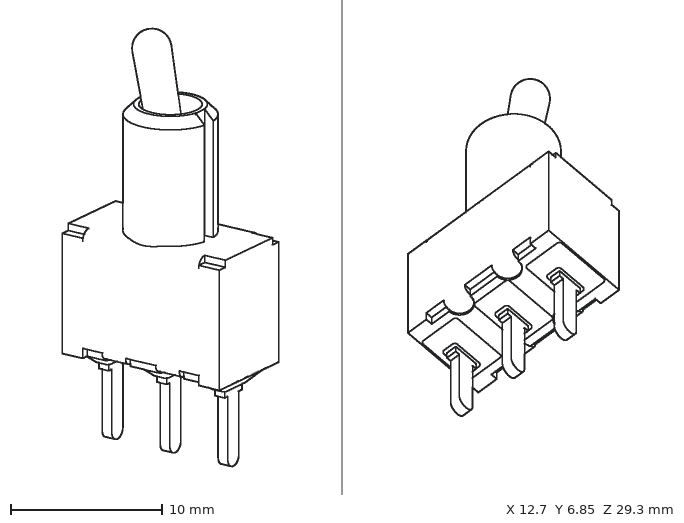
import cadquery as cq
import math


block_x = 12.7
block_y = 6.85
block_z = 8.93

roll_radius = 0.7
roll_length = 9.37
end_step_depth = 0.5

lower_recess_length = roll_length
lower_recess_height = 0.7
lower_recess_depth = 0.53

tab_width = 1.9
tab_spacing = 4.33
tab_pocket_depth = 0.18
tab_bend_radius = 0.47

bushing_diameter = 6.3
bushing_height = 8.87
bushing_chamfer = 0.7
bore_diameter = 4.2
keyway_width = 1.02
keyway_depth = 0.73
bushing_top = block_z + bushing_height

terminal_count = 3
terminal_pitch = 4.68
foot_x = 3.13
foot_y = 4.5
foot_height = 0.97
foot_taper = 45.0
foot_corner_radius = 0.35
blade_thickness = 0.8
blade_width = 1.3
shoulder_width = 2.0
shoulder_height = 0.53
terminal_length = 6.55

lever_tilt = 11.0
lever_length = 7.9
lever_top = 22.72
stem_base_radius = 1.15
tip_radius = 1.32
ball_radius = bore_diameter / 2
ball_z = lever_top - tip_radius - lever_length * math.cos(math.radians(lever_tilt))


def box(size_x, size_y, size_z, center_x, center_y, bottom_z):
    """Box centred on a point in X and Y, standing on bottom_z."""
    return (
        cq.Workplane("XY")
        .box(size_x, size_y, size_z, centered=(True, True, False))
        .translate((center_x, center_y, bottom_z))
    )


def make_block():
    """Block with rolled top edges, end steps and recessed lower edges."""
    end_length = (block_x - roll_length) / 2
    end_x = (block_x - end_length) / 2
    block = box(roll_length, block_y, block_z, 0, 0, 0).edges("|X and >Z").fillet(roll_radius)
    block = block.union(box(block_x, block_y - 2 * roll_radius, block_z, 0, 0, 0))
    for end in (-1, 1):
        block = block.union(box(end_length, block_y, block_z - end_step_depth, end * end_x, 0, 0))

    recess_y = (block_y - lower_recess_depth) / 2
    for side in (-1, 1):
        recess = box(lower_recess_length, lower_recess_depth, lower_recess_height, 0, side * recess_y, 0)
        block = block.cut(recess)
    return block


def add_bent_tab(block, center_x, side):
    """Fill the recess with a tab that bends under the block, and cut the pocket at its rounded end."""
    wall_y = block_y / 2 - lower_recess_depth
    tab_y = side * (wall_y + lower_recess_depth / 2)
    outer_edge = "|X and <Z and >Y" if side > 0 else "|X and <Z and <Y"
    tab_height = lower_recess_height - tab_pocket_depth
    tab = (
        box(tab_width, lower_recess_depth, tab_height, center_x, tab_y, tab_pocket_depth)
        .edges(outer_edge)
        .fillet(tab_bend_radius)
    )
    pocket = (
        cq.Workplane("XY")
        .center(center_x, side * wall_y)
        .circle(tab_width / 2)
        .extrude(tab_pocket_depth)
    )
    return block.union(tab).cut(pocket)


def make_bushing():
    """Chamfered round bushing with a keyway down its +X side."""
    bushing = (
        cq.Workplane("XY", origin=(0, 0, block_z - roll_radius))
        .circle(bushing_diameter / 2)
        .extrude(bushing_height + roll_radius)
        .faces(">Z")
        .chamfer(bushing_chamfer)
    )
    keyway_x = (bushing_diameter - keyway_depth) / 2
    keyway = box(keyway_depth, keyway_width, bushing_height, keyway_x, 0, block_z)
    return bushing.cut(keyway)


def make_seat():
    """Bore of the bushing, ending in a round seat for the lever ball."""
    bore = (
        cq.Workplane("XY", origin=(0, 0, ball_z))
        .circle(ball_radius)
        .extrude(bushing_top - ball_z)
    )
    return bore.union(cq.Workplane("XY").sphere(ball_radius).translate((0, 0, ball_z)))


def make_terminal(center_x):
    """Tapered foot with a flat blade hanging from it."""
    foot = (
        cq.Workplane("XY")
        .rect(foot_x, foot_y)
        .extrude(-foot_height, taper=foot_taper)
        .edges("not (#Z)")
        .fillet(foot_corner_radius)
    )
    shoulder_bottom = -foot_height - shoulder_height
    shoulder = box(blade_thickness, shoulder_width, shoulder_height, 0, 0, shoulder_bottom)
    blade_end_z = blade_width / 2 - terminal_length
    blade_height = shoulder_bottom - blade_end_z
    blade = box(blade_thickness, blade_width, blade_height, 0, 0, blade_end_z)
    blade_end = (
        cq.Workplane("YZ", origin=(-blade_thickness / 2, 0, blade_end_z))
        .circle(blade_width / 2)
        .extrude(blade_thickness)
    )
    return foot.union(shoulder).union(blade).union(blade_end).translate((center_x, 0, 0))


def make_housing():
    """Block, bushing and terminals as one solid."""
    housing = make_block()
    for side in (-1, 1):
        for end in (-1, 1):
            housing = add_bent_tab(housing, end * tab_spacing / 2, side)
    housing = housing.union(make_bushing()).cut(make_seat())
    for index in range(terminal_count):
        offset = index - (terminal_count - 1) / 2
        housing = housing.union(make_terminal(offset * terminal_pitch))
    return housing


def make_lever():
    """Ball, conical stem and round tip, tilted toward -X about the ball centre."""
    stem = (
        cq.Workplane("XZ")
        .lineTo(stem_base_radius, 0)
        .lineTo(tip_radius, lever_length)
        .radiusArc((0, lever_length + tip_radius), -tip_radius)
        .close()
        .revolve(360, (0, 0), (0, 1))
        .rotate((0, 0, 0), (0, 1, 0), -lever_tilt)
    )
    return stem.union(cq.Workplane("XY").sphere(ball_radius)).translate((0, 0, ball_z))


housing = make_housing()
lever = make_lever()

result = cq.Compound.makeCompound([housing.solids().val(), lever.solids().val()])